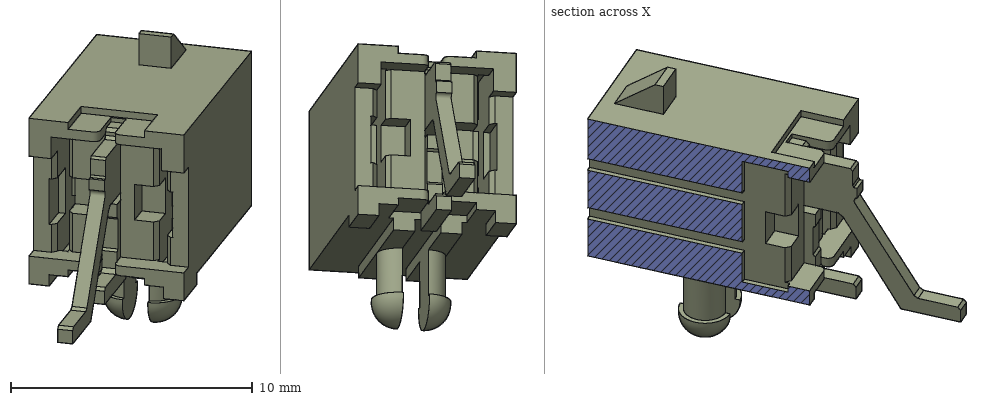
import cadquery as cq
import math


HOUSING_WIDTH = 6.7
HOUSING_DEPTH = 9.9
HOUSING_BOTTOM = 0.51
HOUSING_TOP = 7.38
PLATE_THICKNESS = 0.73
HALF_WIDTH = HOUSING_WIDTH / 2
CAVITY_BOTTOM = HOUSING_BOTTOM + PLATE_THICKNESS
CAVITY_TOP = HOUSING_TOP - PLATE_THICKNESS
CAVITY_HEIGHT = CAVITY_TOP - CAVITY_BOTTOM

CAVITY_HALF_WIDTH = 2.38
WALL_SETBACK = 0.68
WALL_RELIEF_TOP = 5.69
CORE_HALF_WIDTH = 1.95
CORE_FRONT = 0.98
SLOT_BACK = 3.0
SLOT_UNDERCUT = 0.3
EDGE_CHAMFER = 0.2

POCKET_INNER_X = 0.93
POCKET_BOTTOM = 2.96
POCKET_TOP = 4.54
POCKET_BACK = 2.05
NOTCH_OUTER_X = 2.67
NOTCH_BOTTOM = 2.48
NOTCH_TOP = 4.5
WINDOW_HEIGHT = 0.55
WINDOW_BOTTOMS = (2.38, 4.82)

RECESS_HALF_WIDTH = 1.65
RECESS_LENGTH = 1.9
RECESS_DEPTH = 0.3
SLIT_LENGTH = 1.78
SLIT_LEAD_RADIUS = 0.28

LATCH_WIDTH = 1.4
LATCH_TOP = 8.77
LATCH_FRONT = 7.1
LATCH_CREST_BACK = 7.47
LATCH_BACK = 9.28

FOOT_WIDTH = 0.88
FOOT_LENGTH = RECESS_LENGTH
RAIL_INNER_X = 0.55
RAIL_WIDTH = 0.9
RAIL_OUTER_X = RAIL_INNER_X + RAIL_WIDTH
RAIL_BACK = 8.94
PEG_Y = 5.3
PEG_RADIUS = RAIL_WIDTH
PEG_LENGTH = 1.97
PEG_TIP = -3.19
HEAD_RIM_RADIUS = 1.11

CONTACT_THICKNESS = 0.65
TAIL_HEIGHT = 0.72
TAIL_CHAMFER = 0.13

LONG_TAIL_END = -6.0
CONTACT_ROOT = 2.0
LONG_CONTACT_UNDERSIDE = 4.11
LONG_CONTACT_TOP = 6.46
STEP_TOP = 6.89
STEP_RISER_Y = 1.0
STEP_TOP_BEVEL = 0.15
STEP_FOOT_BEVEL_LENGTH = 0.17
STEP_FOOT_BEVEL_HEIGHT = 0.12
STOP_FRONT = -1.39
STOP_PROJECTION = 0.2
STOP_BOTTOM = 5.06
STOP_TOP = 5.55
HEAD_CHAMFER = 0.1

LEG_UNDERSIDE_BEND_START = (-0.55, LONG_CONTACT_UNDERSIDE)
LEG_UNDERSIDE_BEND_END = (-0.77, 3.95)
LEG_HEEL_Y = -3.34
LEG_TOP_BEND_START = (-4.1, TAIL_HEIGHT)
LEG_TOP_BEND_END = (-3.92, 0.82)
LEG_THROAT_START = (-1.28, 4.79)
LEG_THROAT_MIDDLE = (-1.26, 4.94)

SHORT_TAIL_END = -1.34
SHORT_CONTACT_TOP = 3.77
SHORT_CONTACT_FRONT = 0.48
SHORT_BEND = 0.18
SHORT_NOTCH_DEPTH = 0.1
SHORT_NOTCH_BOTTOM = 1.65
SHORT_NOTCH_TOP = 3.18


def box(x_min, x_max, y_min, y_max, z_min, z_max):
    """Axis-aligned box given by its limits."""
    size = (x_max - x_min, y_max - y_min, z_max - z_min)
    return cq.Workplane("XY").box(*size, centered=False).translate((x_min, y_min, z_min))


def both_sides(solid):
    """The solid together with its mirror image across the mid-plane."""
    return solid.union(solid.mirror("YZ"))


def plate_from_profile(points, thickness):
    """Plate centred on X = 0, extruded from a (Y, Z) outline."""
    return cq.Workplane("YZ").polyline(points).close().extrude(thickness / 2, both=True)


def edge_bevel(corner_x, corner_y, leg_x):
    """Cavity-high triangular prism that bevels one vertical edge."""
    outline = [(corner_x, corner_y), (corner_x + leg_x, corner_y), (corner_x, corner_y + EDGE_CHAMFER)]
    prism = cq.Workplane("XY").workplane(offset=CAVITY_BOTTOM).polyline(outline).close()
    return prism.extrude(CAVITY_HEIGHT)


def cut_cavity(body):
    """Open the front, set the side walls back and sink the slots beside the core."""
    opening = box(-CAVITY_HALF_WIDTH, CAVITY_HALF_WIDTH, 0, CORE_FRONT, CAVITY_BOTTOM, CAVITY_TOP)
    relief = box(-HALF_WIDTH, HALF_WIDTH, 0, WALL_SETBACK, CAVITY_BOTTOM, WALL_RELIEF_TOP)
    slot_bottom = CAVITY_BOTTOM - SLOT_UNDERCUT
    slot_top = CAVITY_TOP + SLOT_UNDERCUT
    slot = box(CORE_HALF_WIDTH, CAVITY_HALF_WIDTH, CORE_FRONT, SLOT_BACK, slot_bottom, slot_top)
    core_bevel = edge_bevel(CORE_HALF_WIDTH, CORE_FRONT, -EDGE_CHAMFER)
    wall_bevel = edge_bevel(CAVITY_HALF_WIDTH, WALL_SETBACK, EDGE_CHAMFER).intersect(
        box(0, HALF_WIDTH, 0, HOUSING_DEPTH, CAVITY_BOTTOM, WALL_RELIEF_TOP)
    )
    sides = slot.union(core_bevel).union(wall_bevel)
    return body.cut(opening).cut(relief).cut(both_sides(sides))


def cut_pockets_and_windows(body):
    """Core pockets, wall notches and windows that run through to the back face."""
    pocket = box(POCKET_INNER_X, CORE_HALF_WIDTH, 0, POCKET_BACK, POCKET_BOTTOM, POCKET_TOP)
    notch = box(CAVITY_HALF_WIDTH, NOTCH_OUTER_X, 0, POCKET_BACK, NOTCH_BOTTOM, NOTCH_TOP)
    cutter = pocket.union(notch)
    for bottom in WINDOW_BOTTOMS:
        window = box(
            CORE_HALF_WIDTH, CAVITY_HALF_WIDTH, 0, HOUSING_DEPTH, bottom, bottom + WINDOW_HEIGHT
        )
        cutter = cutter.union(window)
    return body.cut(both_sides(cutter))


def contact_slit(z_min, z_max):
    """Slit through a plate, widened by rounded corners at the front face."""
    half = CONTACT_THICKNESS / 2
    lead = SLIT_LEAD_RADIUS
    flare = box(half, half + lead, 0, lead, z_min, z_max)
    corner = cq.Workplane("XY").workplane(offset=z_min).center(half + lead, lead).circle(lead)
    flare = flare.cut(corner.extrude(z_max - z_min))
    return box(-half, half, 0, SLIT_LENGTH, z_min, z_max).union(both_sides(flare))


def cut_recesses(body):
    """Recess and slit in the top plate and in the bottom plate."""
    levels = (
        (HOUSING_TOP - RECESS_DEPTH, HOUSING_TOP, CAVITY_TOP, HOUSING_TOP),
        (HOUSING_BOTTOM, HOUSING_BOTTOM + RECESS_DEPTH, HOUSING_BOTTOM, CAVITY_BOTTOM),
    )
    for recess_bottom, recess_top, slit_bottom, slit_top in levels:
        recess = box(
            -RECESS_HALF_WIDTH, RECESS_HALF_WIDTH, 0, RECESS_LENGTH, recess_bottom, recess_top
        )
        body = body.cut(recess).cut(contact_slit(slit_bottom, slit_top))
    return body


def cut_core_slit(body):
    """Slit in the core face that takes both contacts."""
    half = CONTACT_THICKNESS / 2
    slit = box(-half, half, CORE_FRONT, SLIT_LENGTH, CAVITY_BOTTOM, CAVITY_TOP)
    return body.cut(slit)


def make_latch():
    """Ramp on the top face with a narrow flat crest."""
    outline = [
        (LATCH_FRONT, HOUSING_TOP),
        (LATCH_FRONT, LATCH_TOP),
        (LATCH_CREST_BACK, LATCH_TOP),
        (LATCH_BACK, HOUSING_TOP),
    ]
    return plate_from_profile(outline, LATCH_WIDTH)


def make_peg():
    """Half-round peg with a domed half-round head, flat toward the mid-plane."""
    head_top = -PEG_LENGTH
    dome_height = head_top - PEG_TIP
    dome_radius = (dome_height**2 + HEAD_RIM_RADIUS**2) / (2 * dome_height)
    dome_centre = PEG_TIP + dome_radius
    arc_middle = dome_radius * math.sin(math.pi / 4)
    profile = (
        cq.Workplane("XZ")
        .moveTo(0, HOUSING_BOTTOM)
        .lineTo(PEG_RADIUS, HOUSING_BOTTOM)
        .lineTo(PEG_RADIUS, head_top)
        .lineTo(HEAD_RIM_RADIUS, head_top)
        .threePointArc((arc_middle, dome_centre - arc_middle), (0, PEG_TIP))
        .close()
    )
    peg = profile.revolve(360, (0, 0, 0), (0, 1, 0)).translate((RAIL_INNER_X, PEG_Y, 0))
    keep = box(RAIL_INNER_X, HALF_WIDTH, 0, HOUSING_DEPTH, PEG_TIP, HOUSING_BOTTOM)
    return peg.intersect(keep)


def make_underside():
    """Corner feet, inner rails and pegs below the housing."""
    foot = box(HALF_WIDTH - FOOT_WIDTH, HALF_WIDTH, 0, FOOT_LENGTH, 0, HOUSING_BOTTOM)
    rail = box(RAIL_INNER_X, RAIL_OUTER_X, RECESS_LENGTH, RAIL_BACK, 0, HOUSING_BOTTOM)
    return both_sides(foot.union(rail).union(make_peg()))


def make_long_contact():
    """Upper contact: stepped root, shouldered head, sloping leg and solder tail."""
    head_front = STOP_FRONT + STOP_PROJECTION
    step_top_y = STEP_RISER_Y + STEP_TOP_BEVEL
    step_foot_y = STEP_RISER_Y - STEP_FOOT_BEVEL_LENGTH
    step_foot_z = LONG_CONTACT_TOP + STEP_FOOT_BEVEL_HEIGHT
    outline = (
        cq.Workplane("YZ")
        .moveTo(CONTACT_ROOT, LONG_CONTACT_UNDERSIDE)
        .lineTo(*LEG_UNDERSIDE_BEND_START)
        .lineTo(*LEG_UNDERSIDE_BEND_END)
        .lineTo(LEG_HEEL_Y, 0)
        .lineTo(LONG_TAIL_END, 0)
        .lineTo(LONG_TAIL_END, TAIL_HEIGHT - TAIL_CHAMFER)
        .lineTo(LONG_TAIL_END + TAIL_CHAMFER, TAIL_HEIGHT)
        .lineTo(*LEG_TOP_BEND_START)
        .lineTo(*LEG_TOP_BEND_END)
        .lineTo(*LEG_THROAT_START)
        .threePointArc(LEG_THROAT_MIDDLE, (STOP_FRONT, STOP_BOTTOM))
        .lineTo(STOP_FRONT, STOP_TOP)
        .lineTo(head_front - HEAD_CHAMFER / 2, STOP_TOP)
        .lineTo(head_front, STOP_TOP + HEAD_CHAMFER)
        .lineTo(head_front, LONG_CONTACT_TOP - HEAD_CHAMFER)
        .lineTo(head_front + HEAD_CHAMFER, LONG_CONTACT_TOP)
        .lineTo(step_foot_y, LONG_CONTACT_TOP)
        .lineTo(STEP_RISER_Y, step_foot_z)
        .lineTo(STEP_RISER_Y, STEP_TOP - STEP_TOP_BEVEL)
        .lineTo(step_top_y, STEP_TOP)
        .lineTo(CONTACT_ROOT, STEP_TOP)
        .close()
    )
    return outline.extrude(CONTACT_THICKNESS / 2, both=True)


def make_short_contact():
    """Lower contact: notched upright blade in the cavity and a short solder tail."""
    notch_front = SHORT_CONTACT_FRONT + SHORT_NOTCH_DEPTH
    outline = [
        (SLIT_LENGTH, 0),
        (SHORT_TAIL_END, 0),
        (SHORT_TAIL_END, TAIL_HEIGHT - TAIL_CHAMFER),
        (SHORT_TAIL_END + TAIL_CHAMFER, TAIL_HEIGHT),
        (SHORT_CONTACT_FRONT - SHORT_BEND, TAIL_HEIGHT),
        (SHORT_CONTACT_FRONT, TAIL_HEIGHT + SHORT_BEND),
        (SHORT_CONTACT_FRONT, SHORT_NOTCH_BOTTOM),
        (notch_front, SHORT_NOTCH_BOTTOM + SHORT_NOTCH_DEPTH),
        (notch_front, SHORT_NOTCH_TOP - SHORT_NOTCH_DEPTH),
        (SHORT_CONTACT_FRONT, SHORT_NOTCH_TOP),
        (SHORT_CONTACT_FRONT, SHORT_CONTACT_TOP),
        (SLIT_LENGTH, SHORT_CONTACT_TOP),
    ]
    return plate_from_profile(outline, CONTACT_THICKNESS)


housing = box(-HALF_WIDTH, HALF_WIDTH, 0, HOUSING_DEPTH, HOUSING_BOTTOM, HOUSING_TOP)
housing = cut_cavity(housing)
housing = cut_pockets_and_windows(housing)
housing = cut_recesses(housing)
housing = cut_core_slit(housing)
housing = housing.union(make_latch()).union(make_underside())
result = housing.union(make_long_contact()).union(make_short_contact())